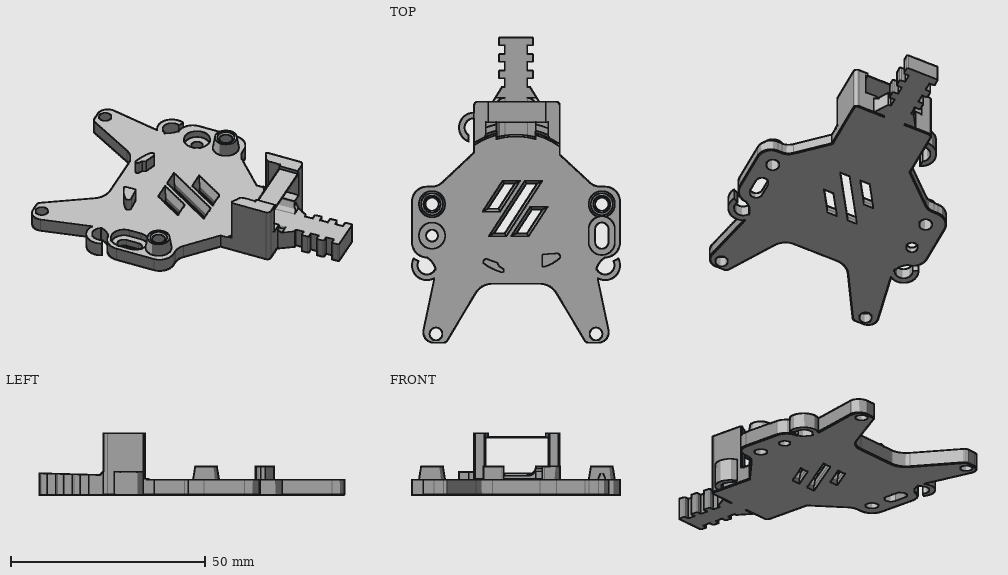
import cadquery as cq
import math

plate_thickness = 4.0
deck_top = 7.4
neck_clip_height = 6.0
frame_top = 16.0
bridge_top = 15.0
bridge_thickness = 0.2
edge_chamfer = 0.2

plate_half_width = 26.85
shoulder_y = 40.3
shoulder_x = 20.15
shoulder_blend_radius = 3.9
side_corner_radius = 3.9
side_bottom_y = 22.0
clip_relief_middle = (21.6, 20.7)
clip_relief_end = (20.7, 19.0)
leg_top = (21.1, 16.5)
heel_x = 24.6
heel_radius = 2.75
toe_x = 18.0
toe_radius = 1.2
crotch_x = 9.0
crotch_y = 15.2
crotch_radius = 5.0

frame_x = 0.2
frame_width = 22.2
frame_left = frame_x - frame_width / 2
frame_right = frame_x + frame_width / 2
frame_back_y = 62.2
neck_left_y = 49.05
neck_right_y = 48.5
frame_corner_radius = 1.0
opening_width = 16.1
bridge_span = 14.8
bridge_front_y = 56.9
wall_front_chamfer = 0.5

recess_y = 34.9
wall_recess_radius = 19.85
tongue_recess_radius = 18.8
rim_width = 0.5
rim_height = 0.2
ring_radius = 22.05
ring_z = 6.85
ring_chamfer = 0.6

mast_half_width = 2.9
mast_end_y = 78.7
mast_end_z = 5.7
tooth_half_width = 4.4
tooth_length = 2.05
tooth_pitch = 4.25
tooth_count = 3
tooth_corner_radius = 0.3
flare_start_y = 66.0
flare_start_half_width = 3.6
flare_end_half_width = 6.0
ramp_length = 0.95
channel_front_z = 4.95
channel_wall_radius = 2.2
tongue_half_width = mast_half_width + channel_wall_radius
tongue_front_y = recess_y + tongue_recess_radius
floor_slope = (mast_end_z - channel_front_z) / (mast_end_y - tongue_front_y)

mount_half_spacing = 21.9
mount_left_x = frame_x - mount_half_spacing
mount_right_x = frame_x + mount_half_spacing
post_y = 35.75
post_base_diameter = 6.8
post_top_diameter = 5.7
post_hole_diameter = 3.4
post_mouth_diameter = 4.4
post_mouth_depth = 0.5
lower_hole_y = 27.6
lower_hole_diameter = 3.0
slot_width = 3.4
slot_length = 6.7
seat_diameter = 6.8
slot_seat_length = 10.0
seat_depth = 2.0
foot_hole_x = 20.6
foot_hole_y = 2.3
foot_hole_diameter = 3.2
clip_outer_radius = 3.85
clip_inner_radius = 2.4
side_clip_x = 23.0
side_clip_y = 20.0
side_clip_tip_angle = 27
neck_clip_y = 55.5
neck_clip_mouth = 1.3

window_width = 4.5
window_pitch = 5.75
window_lean = 0.65
window_middle_x = -7.0
window_low_y = 27.5
window_high_y = 41.8
window_split_left_y = 33.85
window_split_right_y = 35.1
window_taper_depth = 2.6
window_taper_inset = 0.75

margin = 0.8
pick_reach = 0.1


def block(x0, x1, y0, y1, z0, z1):
    return cq.Workplane("XY").box(x1 - x0, y1 - y0, z1 - z0, centered=False).translate((x0, y0, z0))


def disc(x, y, radius, z0, z1):
    return cq.Workplane("XY", origin=(x, y, z0)).circle(radius).extrude(z1 - z0)


def upright_edge(body, x, y):
    """The vertical edge of a body that stands at (x, y)."""
    zone = cq.selectors.BoxSelector(
        (x - pick_reach, y - pick_reach, 0),
        (x + pick_reach, y + pick_reach, frame_top),
    )
    return body.edges("|Z").edges(zone)


def make_half_plate(side, neck_x, neck_y):
    """Half of the plate on one side of X = 0: side is -1 for left, +1 for right."""
    edge_x = plate_half_width
    half = (
        cq.Workplane("XY")
        .moveTo(0, neck_y)
        .lineTo(neck_x, neck_y)
        .lineTo(side * shoulder_x, shoulder_y)
        .lineTo(side * edge_x, shoulder_y)
        .lineTo(side * edge_x, side_bottom_y + side_corner_radius)
        .radiusArc((side * (edge_x - side_corner_radius), side_bottom_y), side * side_corner_radius)
        .threePointArc(
            (side * clip_relief_middle[0], clip_relief_middle[1]),
            (side * clip_relief_end[0], clip_relief_end[1]),
        )
        .lineTo(side * leg_top[0], leg_top[1])
        .lineTo(side * heel_x, 0)
        .lineTo(side * toe_x, 0)
        .lineTo(side * crotch_x, crotch_y)
        .lineTo(0, crotch_y)
        .close()
        .extrude(plate_thickness)
    )
    half = upright_edge(half, side * shoulder_x, shoulder_y).fillet(shoulder_blend_radius)
    half = upright_edge(half, side * edge_x, shoulder_y).fillet(side_corner_radius)
    half = upright_edge(half, side * heel_x, 0).fillet(heel_radius)
    half = upright_edge(half, side * toe_x, 0).fillet(toe_radius)
    return upright_edge(half, side * crotch_x, crotch_y).fillet(crotch_radius)


def make_plate():
    plate = make_half_plate(-1, frame_left, neck_left_y).union(make_half_plate(1, frame_right, neck_right_y))
    neck = block(frame_left, frame_right, crotch_y + crotch_radius, frame_back_y, 0, plate_thickness)
    plate = plate.union(neck).clean()
    for x in (frame_left, frame_right):
        plate = upright_edge(plate, x, frame_back_y).fillet(frame_corner_radius)
    relief_zone = cq.selectors.BoxSelector(
        (-plate_half_width, clip_relief_end[1], -margin),
        (plate_half_width, side_bottom_y, margin),
    )
    return plate.faces("<Z").edges(-relief_zone).chamfer(edge_chamfer)


def make_recess(radius):
    """Round cut above the plate that leaves a low rim along its edge."""
    upper = disc(0, recess_y, radius, plate_thickness + rim_height, frame_top + margin)
    lower = disc(0, recess_y, radius - rim_width, plate_thickness, frame_top + margin)
    return upper.union(lower)


def make_frame():
    front_y = neck_left_y
    frame = block(frame_left, frame_right, front_y, frame_back_y, edge_chamfer, frame_top)
    for x in (frame_left, frame_right):
        frame = upright_edge(frame, x, frame_back_y).fillet(frame_corner_radius)

    opening_left = frame_x - opening_width / 2
    opening_right = frame_x + opening_width / 2
    past_back = frame_back_y + margin
    past_top = frame_top + margin
    bridge_bottom = bridge_top - bridge_thickness
    frame = frame.cut(block(opening_left, opening_right, 0, past_back, deck_top, bridge_bottom))
    frame = frame.cut(block(opening_left, opening_right, 0, bridge_front_y, deck_top, past_top))
    half_span = bridge_span / 2
    frame = frame.cut(block(frame_x - half_span, frame_x + half_span, 0, past_back, bridge_top, past_top))

    chamfer_cone = cq.Workplane("XY").add(
        cq.Solid.makeCone(
            wall_recess_radius, wall_recess_radius + ring_chamfer, ring_chamfer,
            pnt=cq.Vector(0, recess_y, ring_z - ring_chamfer), dir=cq.Vector(0, 0, 1),
        )
    )
    ring = disc(0, recess_y, ring_radius, ring_z, deck_top + margin).union(chamfer_cone)
    frame = frame.cut(ring.intersect(block(opening_left, opening_right, 0, past_back, 0, past_top)))

    half = tongue_half_width
    tongue = block(-half, half, front_y, bridge_front_y, edge_chamfer, ring_z - ring_chamfer)
    tongue = tongue.cut(make_recess(tongue_recess_radius))
    frame = frame.cut(make_recess(wall_recess_radius))

    for x in (frame_left, opening_left, opening_right, frame_right):
        corner_y = recess_y + math.sqrt(wall_recess_radius**2 - x**2)
        frame = upright_edge(frame, x, corner_y).chamfer(wall_front_chamfer)
    return frame.union(tongue)


def floor_z(y):
    """Height of the sloping mast top and channel floor."""
    return mast_end_z - floor_slope * (mast_end_y - y)


def make_mast():
    base_y = bridge_front_y
    mast = block(-mast_half_width, mast_half_width, base_y, mast_end_y, 0, deck_top)
    for index in range(tooth_count):
        tip_y = mast_end_y - index * tooth_pitch
        tooth = block(-tooth_half_width, tooth_half_width, tip_y - tooth_length, tip_y, 0, deck_top)
        mast = mast.union(tooth.edges("|Z").fillet(tooth_corner_radius))
    flare = (
        cq.Workplane("XY")
        .moveTo(-flare_start_half_width, flare_start_y)
        .lineTo(flare_start_half_width, flare_start_y)
        .lineTo(flare_end_half_width, frame_back_y)
        .lineTo(-flare_end_half_width, frame_back_y)
        .close()
        .extrude(deck_top)
    )
    ramp_foot_y = frame_back_y + ramp_length
    side_profile = (
        cq.Workplane("YZ", origin=(-plate_half_width, 0, 0))
        .moveTo(base_y, 0)
        .lineTo(mast_end_y, 0)
        .lineTo(mast_end_y, mast_end_z)
        .lineTo(ramp_foot_y, floor_z(ramp_foot_y))
        .lineTo(frame_back_y, floor_z(ramp_foot_y) + ramp_length)
        .lineTo(base_y, floor_z(ramp_foot_y) + ramp_length)
        .close()
        .extrude(2 * plate_half_width)
    )
    return mast.union(flare).intersect(side_profile)


def make_channel():
    """Cutter for the cable channel: flat sloping floor with quarter-round sides."""
    start_y = tongue_front_y - channel_wall_radius
    end_y = frame_back_y + ramp_length + margin
    profile = (
        cq.Workplane("XZ")
        .moveTo(-mast_half_width, 0)
        .lineTo(mast_half_width, 0)
        .radiusArc((tongue_half_width, channel_wall_radius), -channel_wall_radius)
        .lineTo(tongue_half_width, deck_top)
        .lineTo(-tongue_half_width, deck_top)
        .lineTo(-tongue_half_width, channel_wall_radius)
        .radiusArc((-mast_half_width, 0), -channel_wall_radius)
        .close()
    )
    cutter = profile.extrude(start_y - end_y)
    cutter = cutter.rotate((0, 0, 0), (1, 0, 0), math.degrees(math.atan(floor_slope)))
    return cutter.translate((0, start_y, floor_z(start_y)))


def make_clip(x, y, height):
    return disc(x, y, clip_outer_radius, 0, height).cut(disc(x, y, clip_inner_radius, 0, height))


def make_side_clip(side):
    clip = make_clip(side_clip_x, side_clip_y, plate_thickness)
    span = 2 * clip_outer_radius
    mouth = block(-span, span, 0, span, 0, plate_thickness)
    mouth = mouth.rotate((0, 0, 0), (0, 0, 1), side_clip_tip_angle).translate((side_clip_x, side_clip_y, 0))
    clip = clip.cut(mouth)
    return clip if side > 0 else clip.mirror("YZ")


def make_neck_clip():
    clip = make_clip(frame_left, neck_clip_y, neck_clip_height)
    inside_x = frame_left + 2 * clip_outer_radius
    clip = clip.cut(block(frame_left, inside_x, 0, frame_back_y, 0, neck_clip_height))
    return clip.cut(block(frame_left - neck_clip_mouth, inside_x, 0, neck_clip_y, 0, neck_clip_height))


def make_post(x):
    return (
        cq.Workplane("XY", origin=(x, post_y, plate_thickness))
        .circle(post_base_diameter / 2)
        .workplane(offset=deck_top - plate_thickness)
        .circle(post_top_diameter / 2)
        .loft()
    )


def make_post_hole(x):
    hole = disc(x, post_y, post_hole_diameter / 2, -margin, deck_top + margin)
    mouth = cq.Solid.makeCone(
        post_hole_diameter / 2, post_mouth_diameter / 2, post_mouth_depth,
        pnt=cq.Vector(x, post_y, deck_top - post_mouth_depth), dir=cq.Vector(0, 0, 1),
    )
    return hole.union(cq.Workplane("XY").add(mouth))


def make_seated_slot():
    """Slot with a wider seat that also bites into the post above it."""
    seat_z = plate_thickness - seat_depth
    slot = cq.Workplane("XY", origin=(mount_right_x, lower_hole_y, 0))
    through = slot.slot2D(slot_length, slot_width, 90).extrude(plate_thickness)
    seat = slot.workplane(offset=seat_z).slot2D(slot_seat_length, seat_diameter, 90).extrude(deck_top)
    return through.union(seat)


def make_seated_hole():
    seat = disc(mount_left_x, lower_hole_y, seat_diameter / 2, plate_thickness - seat_depth, deck_top)
    return seat.union(disc(mount_left_x, lower_hole_y, lower_hole_diameter / 2, 0, plate_thickness))


def make_window(column, low_y, high_y):
    """Slanted window with sloping upper walls; column -1, 0, 1 runs left to right."""
    low_x = window_middle_x + column * window_pitch + window_lean * (low_y - window_low_y)
    high_x = low_x + window_lean * (high_y - low_y)
    corners = [
        (low_x, low_y),
        (low_x + window_width, low_y),
        (high_x + window_width, high_y),
        (high_x, high_y),
    ]
    mouth = cq.Workplane("XY", origin=(0, 0, plate_thickness)).polyline(corners).close()
    taper_angle = math.degrees(math.atan(window_taper_inset / window_taper_depth))
    tapered = mouth.extrude(-window_taper_depth, taper=taper_angle)
    throat = tapered.faces("<Z").wires().toPending().workplane().extrude(plate_thickness)
    return tapered.union(throat)


def make_left_pin():
    return (
        cq.Workplane("XY", origin=(0, 0, plate_thickness))
        .moveTo(-8.35, 20.5)
        .threePointArc((-8.35, 21.2), (-7.6, 21.65))
        .lineTo(-4.8, 20.6)
        .lineTo(-4.3, 19.7)
        .lineTo(-3.4, 19.1)
        .threePointArc((-3.15, 18.5), (-3.7, 18.2))
        .threePointArc((-6.0, 19.05), (-8.35, 20.5))
        .close()
        .extrude(deck_top - plate_thickness)
    )


def make_right_pin():
    return (
        cq.Workplane("XY", origin=(0, 0, plate_thickness))
        .moveTo(6.8, 20.1)
        .lineTo(6.8, 22.35)
        .threePointArc((6.85, 22.7), (7.25, 22.8))
        .lineTo(10.7, 23.1)
        .threePointArc((11.3, 22.5), (11.2, 21.7))
        .threePointArc((9.4, 20.5), (7.25, 19.6))
        .threePointArc((6.85, 19.7), (6.8, 20.1))
        .close()
        .extrude(deck_top - plate_thickness)
    )


result = make_plate().union(make_frame()).union(make_mast()).cut(make_channel())
result = result.union(make_neck_clip())
for side in (-1, 1):
    result = result.union(make_side_clip(side))
    result = result.cut(disc(side * foot_hole_x, foot_hole_y, foot_hole_diameter / 2, 0, plate_thickness))

for post_x in (mount_left_x, mount_right_x):
    result = result.union(make_post(post_x)).cut(make_post_hole(post_x))
result = result.cut(make_seated_hole()).cut(make_seated_slot())

result = result.cut(make_window(-1, window_split_left_y, window_high_y))
result = result.cut(make_window(0, window_low_y, window_high_y))
result = result.cut(make_window(1, window_low_y, window_split_right_y))
result = result.union(make_left_pin()).union(make_right_pin())